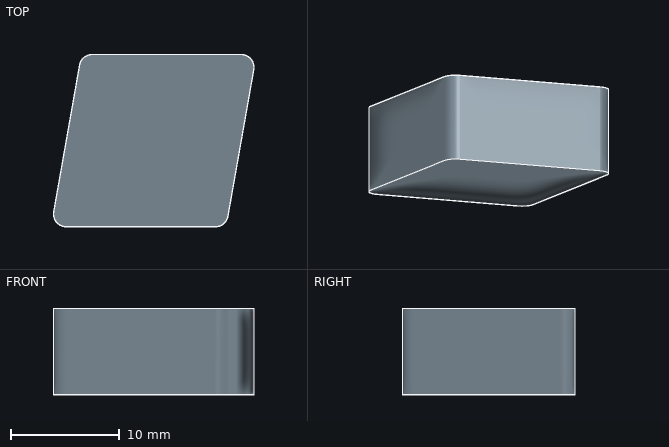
import cadquery as cq
import math

inscribed_circle = 15.875
thickness = 7.94
corner_radius = 1.2
acute_angle = math.radians(80)

side_length = inscribed_circle / math.sin(acute_angle)
side_lean = inscribed_circle / math.tan(acute_angle)


def rhombus_corners():
    """Sharp corners, counterclockwise, with the rhombus centred on the origin."""
    half_height = inscribed_circle / 2
    near_x = (side_length - side_lean) / 2
    far_x = (side_length + side_lean) / 2
    return [
        (-far_x, -half_height),
        (near_x, -half_height),
        (far_x, half_height),
        (-near_x, half_height),
    ]


def insert_blank():
    """Extrude the rhombus along Z and round its four upright edges."""
    prism = cq.Workplane("XY").polyline(rhombus_corners()).close().extrude(thickness)
    return prism.edges("|Z").fillet(corner_radius)


result = insert_blank()